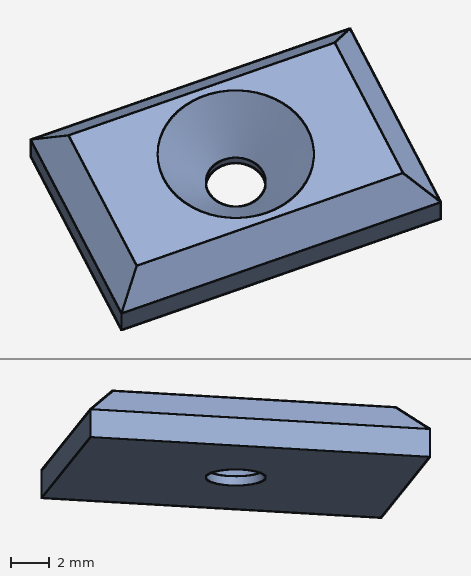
import cadquery as cq
import math

width = 12.0
length = 18.0
thickness = 3.0
bevel = 1.5

hole_diameter = 3.1
sink_diameter = 8.1
sink_angle = 90.0
sink_depth = (sink_diameter - hole_diameter) / 2 / math.tan(math.radians(sink_angle / 2))


def beveled_plate():
    """Rectangular plate resting on Z = 0, with its four top edges beveled."""
    plate = cq.Workplane("XY").box(width, length, thickness, centered=(True, True, False))
    return plate.faces(">Z").edges().chamfer(bevel)


def countersunk_hole():
    """Solid of revolution to cut: a through bore that opens into a cone at the top."""
    hole_radius = hole_diameter / 2
    sink_radius = sink_diameter / 2
    half_section = (
        cq.Workplane("XZ")
        .lineTo(hole_radius, 0)
        .lineTo(hole_radius, thickness - sink_depth)
        .lineTo(sink_radius, thickness)
        .lineTo(0, thickness)
        .close()
    )
    return half_section.revolve(360, (0, 0), (0, 1))


result = beveled_plate().cut(countersunk_hole())